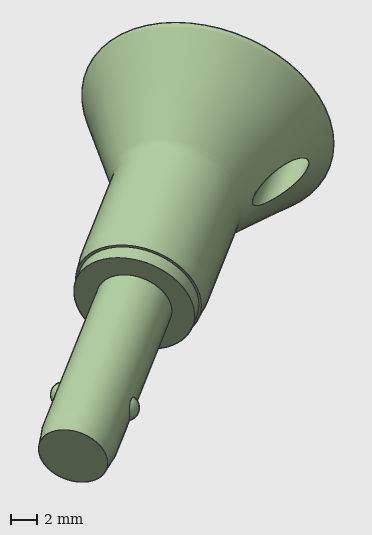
import cadquery as cq
import math


shank_radius = 3.0
shank_length = 17.0
tip_radius = 2.75
tip_length = 1.75

ball_radius = 1.0
ball_reach = 3.5
ball_to_tip = 6.1

handle_length = 21.0
flange_radius = 10.0
rim_round = 0.5
flare_angle = math.radians(30)
body_radius = 5.15
neck_blend_radius = 2.0

nose_radius = 4.8
nose_length = 1.2
taper_end_radius = 5.0
taper_length = 1.55

hole_diameter = 3.0
hole_offset = 7.2


def arc_point(center, radius, angle):
    """Point on a circle, with the angle measured from +X towards +Y."""
    return (center[0] + radius * math.cos(angle), center[1] + radius * math.sin(angle))


def make_revolved_body():
    """Shank and handle as one half profile turned about the Y axis."""
    tip_y = -shank_length
    taper_start_y = nose_length + taper_length

    rim_center = (flange_radius - rim_round, handle_length - rim_round)
    rim_front = arc_point(rim_center, rim_round, -flare_angle)
    rim_back = arc_point(rim_center, rim_round, math.pi / 2)
    rim_widest = arc_point(rim_center, rim_round, 0)
    rim_front_middle = arc_point(rim_center, rim_round, -flare_angle / 2)
    rim_back_middle = arc_point(rim_center, rim_round, math.pi / 4)

    blend_center_x = body_radius + neck_blend_radius
    blend_flare_x = blend_center_x - neck_blend_radius * math.cos(flare_angle)
    flare_depth = (rim_front[0] - blend_flare_x) / math.tan(flare_angle)
    blend_flare_y = rim_front[1] - flare_depth
    blend_center_y = blend_flare_y - neck_blend_radius * math.sin(flare_angle)
    blend_center = (blend_center_x, blend_center_y)
    blend_middle = arc_point(blend_center, neck_blend_radius, math.pi - flare_angle / 2)

    profile = (
        cq.Workplane("XY")
        .moveTo(0, tip_y)
        .lineTo(tip_radius, tip_y)
        .lineTo(shank_radius, tip_y + tip_length)
        .lineTo(shank_radius, 0)
        .lineTo(nose_radius, 0)
        .lineTo(nose_radius, nose_length)
        .lineTo(taper_end_radius, nose_length)
        .lineTo(body_radius, taper_start_y)
        .lineTo(body_radius, blend_center_y)
        .threePointArc(blend_middle, (blend_flare_x, blend_flare_y))
        .lineTo(*rim_front)
        .threePointArc(rim_front_middle, rim_widest)
        .threePointArc(rim_back_middle, rim_back)
        .lineTo(0, handle_length)
        .close()
    )
    return profile.revolve(360, (0, 0, 0), (0, 1, 0))


def make_locking_ball(side):
    """Ball half buried in the shank on the +X (side = 1) or -X (side = -1) flank."""
    center_x = side * (ball_reach - ball_radius)
    center_y = ball_to_tip - shank_length
    return cq.Workplane("XY").sphere(ball_radius).translate((center_x, center_y, 0))


def make_lanyard_hole():
    """Cutter parallel to the pin, from the shoulder plane to the back face."""
    return (
        cq.Workplane("XZ")
        .center(hole_offset, 0)
        .circle(hole_diameter / 2)
        .extrude(-handle_length)
    )


result = make_revolved_body().cut(make_lanyard_hole())
for flank in (1, -1):
    result = result.union(make_locking_ball(flank))